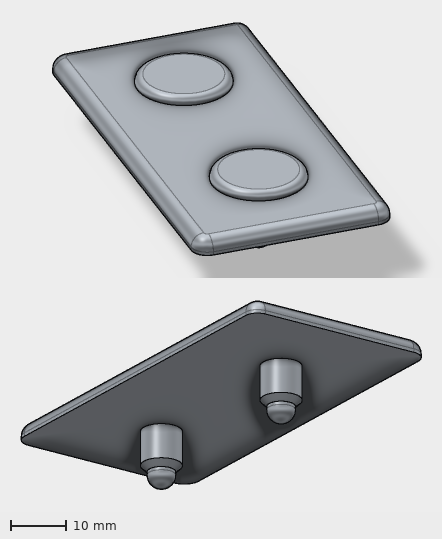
import cadquery as cq

plate_length = 76.2
plate_width = 38.1
plate_thickness = 3.1
top_edge_radius = 2.45
corner_radius = 3.1
small_corner_radius = 2.5

stud_spacing = plate_length / 2
head_radius = 8.9
head_height = 1.6
head_edge_radius = 1.5
shank_radius = 3.8
shank_length = 6.6
ball_radius = 2.6
total_height = 15.8

taper_height = shank_radius - ball_radius
head_top = plate_thickness + head_height
stud_bottom = head_top - total_height
ball_center = stud_bottom + ball_radius

stud_positions = [(-stud_spacing / 2, 0), (stud_spacing / 2, 0)]


def make_plate():
    """Rounded plate with one tight corner and a hole for each shank."""
    plate = cq.Workplane("XY").box(
        plate_length, plate_width, plate_thickness, centered=(True, True, False)
    )
    plate = plate.edges("|Z").edges(">X or <Y").fillet(corner_radius)
    plate = plate.edges("|Z").edges("<X").edges(">Y").fillet(small_corner_radius)
    plate = plate.faces(">Z").edges().fillet(top_edge_radius)
    shank_holes = (
        cq.Workplane("XY").pushPoints(stud_positions).circle(shank_radius).extrude(plate_thickness)
    )
    plate = plate.cut(shank_holes)
    return plate


def make_stud(x, y):
    """Revolve the whole stud about its vertical axis."""
    profile = (
        cq.Workplane("XZ")
        .moveTo(0, stud_bottom)
        .radiusArc((ball_radius, ball_center), -ball_radius)
        .lineTo(ball_radius, -shank_length - taper_height)
        .lineTo(shank_radius, -shank_length)
        .lineTo(shank_radius, plate_thickness)
        .lineTo(head_radius, plate_thickness)
        .lineTo(head_radius, head_top - head_edge_radius)
        .radiusArc((head_radius - head_edge_radius, head_top), -head_edge_radius)
        .lineTo(0, head_top)
        .close()
    )
    return profile.revolve(360, (0, 0, 0), (0, 1, 0)).translate((x, y, 0))


plate = make_plate()
studs = [make_stud(x, y) for x, y in stud_positions]
result = cq.Compound.makeCompound([plate.val(), *[stud.val() for stud in studs]])